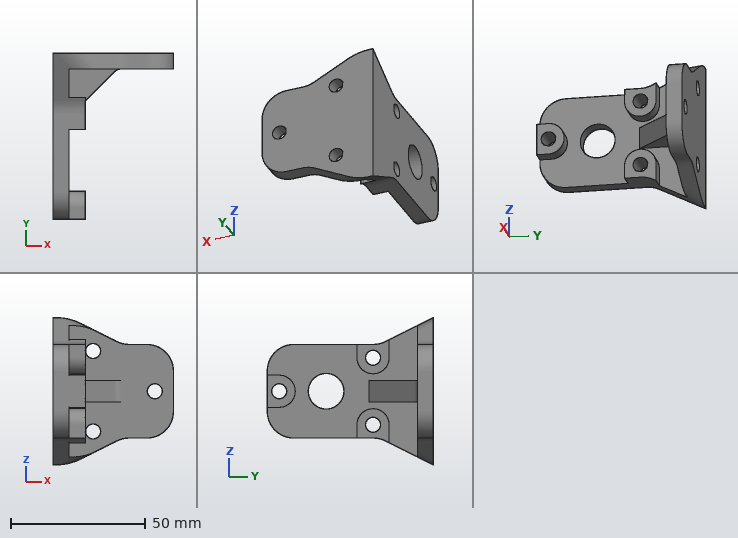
import cadquery as cq
import math


plate_thickness = 6.0
side_length = 62.0
back_length = 45.0
corner_height = 55.0
tongue_height = 35.0
flare_slope = 0.5
blend_radius = 10.0

screw_diameter = 5.5
bore_diameter = 13.2
bore_distance = 40.0
side_pair_distance = 22.5
side_pair_spacing = 25.0
side_end_distance = 57.5
back_pair_distance = 15.0
back_pair_spacing = 30.0
back_end_distance = 38.0

boss_height = 6.1
boss_radius = 6.0

gusset_reach = 30.0
gusset_angle = math.radians(45)
gusset_width = 8.2
gusset_end_radius = 3.0

half_corner = corner_height / 2
half_tongue = tongue_height / 2
flare_run = (half_corner - half_tongue) / flare_slope
side_flare_start = 0.0
back_flare_start = plate_thickness
boss_top = plate_thickness + boss_height

side_plane = cq.Plane(origin=(0, 0, 0), xDir=(0, -1, 0), normal=(1, 0, 0))
back_plane = cq.Plane(origin=(0, 0, 0), xDir=(1, 0, 0), normal=(0, -1, 0))


def slab(plane, length):
    """A plate before its outline is cut."""
    return (
        cq.Workplane(plane)
        .center(length / 2, 0)
        .rect(length, corner_height)
        .extrude(plate_thickness)
    )


def outline_prism(plane, flare_start, length, depth, rounded_edges):
    """Plate outline swept through the whole part: a flared root narrowing to a rounded tongue."""
    root_half = half_corner + flare_slope * flare_start
    neck = flare_start + flare_run
    return (
        cq.Workplane(plane)
        .polyline([
            (0, -root_half),
            (neck, -half_tongue),
            (length, -half_tongue),
            (length, half_tongue),
            (neck, half_tongue),
            (0, root_half),
        ])
        .close()
        .extrude(depth)
        .edges(rounded_edges)
        .fillet(blend_radius)
    )


def boss(center, tail_direction):
    """Round boss about a side plate screw with a straight tail running past the plate edge."""
    tail_length = half_corner
    along, across = tail_direction
    tail_center = (
        center[0] + along * tail_length / 2,
        center[1] + across * tail_length / 2,
    )
    tail_size = (tail_length, 2 * boss_radius) if along else (2 * boss_radius, tail_length)
    round_part = cq.Workplane(side_plane).center(*center).circle(boss_radius).extrude(boss_top)
    tail = cq.Workplane(side_plane).center(*tail_center).rect(*tail_size).extrude(boss_top)
    return round_part.union(tail)


def round_creases(body):
    """Round the slanted edges where the flares of the two plates meet above and below."""
    crease_run = plate_thickness / 2
    crease_height = half_corner - flare_slope * crease_run
    for side in (1, -1):
        crease_middle = (back_flare_start + crease_run, -crease_run, side * crease_height)
        body = body.edges(cq.selectors.NearestToPointSelector(crease_middle)).fillet(blend_radius)
    return body


def gusset():
    """Triangular web with a sloped face, rounded tangentially into the back plate."""
    wall = -plate_thickness
    foot = gusset_reach - plate_thickness
    tangent = gusset_end_radius * math.tan(gusset_angle / 2)
    tangent_leg = tangent * math.cos(gusset_angle)
    arc_middle = (
        foot + tangent - gusset_end_radius * math.sin(gusset_angle / 2),
        wall - gusset_end_radius + gusset_end_radius * math.cos(gusset_angle / 2),
    )
    return (
        cq.Workplane("XY")
        .moveTo(0, 0)
        .lineTo(0, -gusset_reach)
        .lineTo(foot - tangent_leg, wall - tangent_leg)
        .threePointArc(arc_middle, (foot + tangent, wall))
        .lineTo(foot + tangent, 0)
        .close()
        .extrude(gusset_width / 2, both=True)
    )


def holes(plane, diameter, centers, depth):
    """Round cutters entering from the outer face of a plate."""
    return cq.Workplane(plane).pushPoints(centers).circle(diameter / 2).extrude(depth)


side_pair = [(side_pair_distance, side * side_pair_spacing / 2) for side in (1, -1)]
side_end = (side_end_distance, 0)
back_pair = [(back_pair_distance, side * back_pair_spacing / 2) for side in (1, -1)]
back_end = (back_end_distance, 0)

body = slab(side_plane, side_length).union(slab(back_plane, back_length))
body = body.union(boss(side_end, (1, 0)))
for center, outward in zip(side_pair, (1, -1)):
    body = body.union(boss(center, (0, outward)))
body = body.intersect(
    outline_prism(side_plane, side_flare_start, side_length, back_length, "|X and (not >Y)")
)
body = body.intersect(
    outline_prism(back_plane, back_flare_start, back_length, side_length, "|Y and (not <X)")
)
body = round_creases(body)

body = body.union(gusset())

body = body.cut(holes(side_plane, screw_diameter, side_pair + [side_end], boss_top))
body = body.cut(holes(side_plane, bore_diameter, [(bore_distance, 0)], plate_thickness))
body = body.cut(holes(back_plane, screw_diameter, back_pair + [back_end], plate_thickness))

result = body